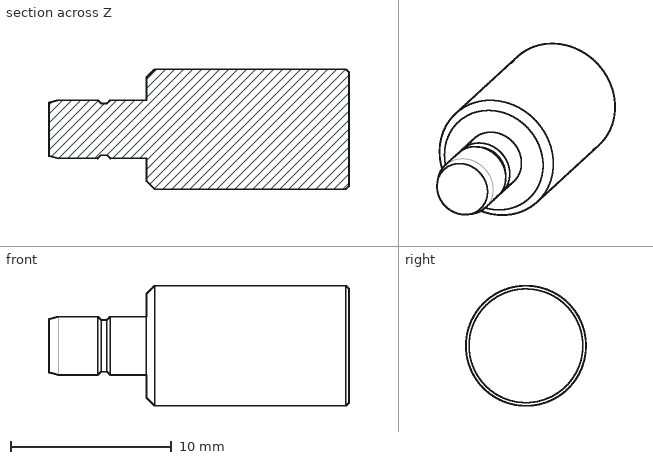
import cadquery as cq
import math

total_length = 18.7

body_radius = 7.5 / 2
body_start = 6.08
front_chamfer = 0.5
rear_chamfer = 0.2

pin_radius = 3.65 / 2
tip_taper_length = 0.58
tip_taper_angle = 15.0
tip_radius = pin_radius - tip_taper_length * math.tan(math.radians(tip_taper_angle))

groove_center = 3.45
groove_floor_width = 0.35
groove_depth = 0.2


def make_body():
    """Cylinder along X with a chamfer on each end."""
    body = (
        cq.Workplane("YZ")
        .workplane(offset=body_start)
        .circle(body_radius)
        .extrude(total_length - body_start)
    )
    return body.faces("<X").chamfer(front_chamfer).faces(">X").chamfer(rear_chamfer)


def make_pin():
    """Pin along X with a tapered tip and a trapezoidal groove."""
    floor_radius = pin_radius - groove_depth
    floor_start = groove_center - groove_floor_width / 2
    floor_end = groove_center + groove_floor_width / 2
    half_profile = (
        cq.Workplane("XY")
        .lineTo(0, tip_radius)
        .lineTo(tip_taper_length, pin_radius)
        .lineTo(floor_start - groove_depth, pin_radius)
        .lineTo(floor_start, floor_radius)
        .lineTo(floor_end, floor_radius)
        .lineTo(floor_end + groove_depth, pin_radius)
        .lineTo(body_start, pin_radius)
        .lineTo(body_start, 0)
        .close()
    )
    return half_profile.revolve(360, (0, 0, 0), (1, 0, 0))


result = make_body().union(make_pin())